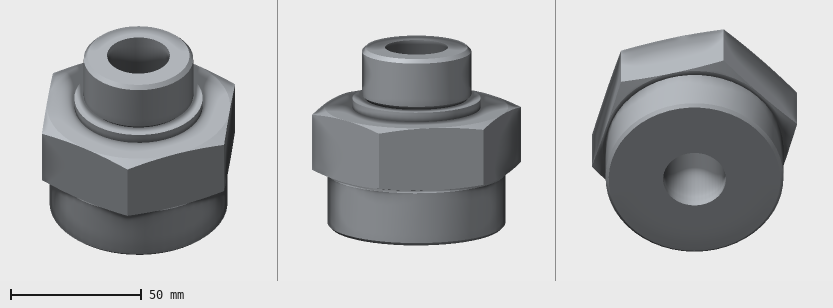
import cadquery as cq
import math

total_height = 70.0
body_height = 22.0
hex_height = 24.5
collar_height = 3.6

hex_across_corners = 80.8
hex_across_flats = hex_across_corners * math.cos(math.radians(30))
body_diameter = 68.0
collar_diameter = 49.0
spigot_diameter = 41.9
bore_diameter = 24.0

body_chamfer = 1.2
spigot_chamfer = 1.45
hex_chamfer_angle = 15.0

hex_bottom = body_height
hex_top = hex_bottom + hex_height
collar_top = hex_top + collar_height
spigot_height = total_height - collar_top


def cylinder(diameter, bottom, height):
    return cq.Workplane("XY").workplane(offset=bottom).circle(diameter / 2).extrude(height)


def chamfered_hexagon():
    """Hexagon with corners on the Y axis, its corners turned off by a cone at both ends."""
    prism = (
        cq.Workplane("XY")
        .workplane(offset=hex_bottom)
        .polygon(6, hex_across_corners)
        .extrude(hex_height)
        .rotate((0, 0, 0), (0, 0, 1), 90)
    )
    face_radius = hex_across_flats / 2
    corner_radius = hex_across_corners / 2
    drop = (corner_radius - face_radius) * math.tan(math.radians(hex_chamfer_angle))
    envelope = (
        cq.Workplane("XZ")
        .moveTo(0, hex_bottom)
        .lineTo(face_radius, hex_bottom)
        .lineTo(corner_radius, hex_bottom + drop)
        .lineTo(corner_radius, hex_top - drop)
        .lineTo(face_radius, hex_top)
        .lineTo(0, hex_top)
        .close()
        .revolve(360, (0, 0, 0), (0, 1, 0))
    )
    return prism.intersect(envelope)


body = cylinder(body_diameter, 0, body_height).edges().chamfer(body_chamfer)
collar = cylinder(collar_diameter, hex_top, collar_height)
spigot = cylinder(spigot_diameter, collar_top, spigot_height).edges().chamfer(spigot_chamfer)
bore = cylinder(bore_diameter, 0, total_height)

result = body.union(chamfered_hexagon()).union(collar).union(spigot).cut(bore)